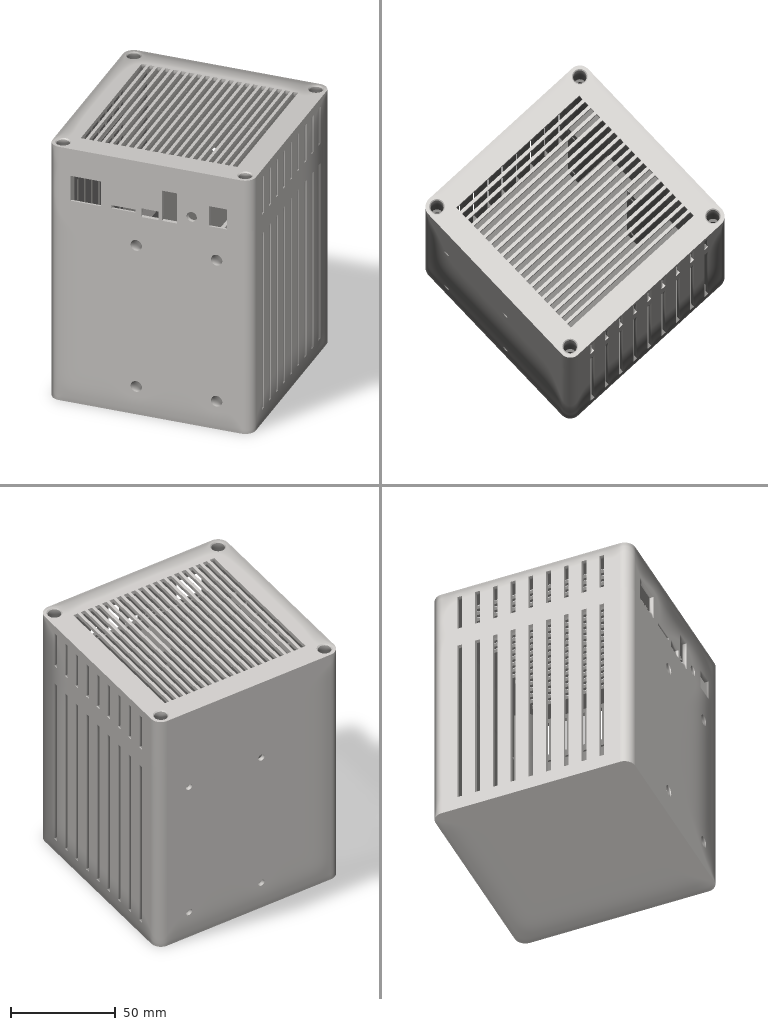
import cadquery as cq
import math

SIDE = 104.0
HEIGHT = 137.0
LID_HEIGHT = 28.0
BASE_HEIGHT = HEIGHT - LID_HEIGHT
WALL = 2.0
CORNER_RADIUS = 5.5
HALF = SIDE / 2
FRONT_Y = -HALF

RIM_WALL = WALL / 2
RIM_STEP_DEPTH = 1.8

PILLAR_RADIUS = 5.5
SCREW_INSET = 5.5
SCREW_HEAD_DIAMETER = 6.5
SCREW_HEAD_CHAMFER = 0.5
SCREW_HEAD_DEPTH = 20.5
SCREW_HOLE_DIAMETER = 3.5
SCREW_PILOT_DEPTH = 20.5

SLOT_WIDTH = 2.5
ROOF_SLOT_COUNT = 20
ROOF_SLOT_SPAN = 80.0
SIDE_SLOT_COUNT = 9
SIDE_SLOT_SPAN = 76.6
LID_SLOT_BOTTOM = BASE_HEIGHT + 3.7
LID_SLOT_TOP = HEIGHT - 4.5
BASE_SLOT_BOTTOM = 7.3
BASE_SLOT_TOP = BASE_HEIGHT - 7.0

RAIL_WIDTH = 6.7
RAIL_DEPTH = 21.5
RAIL_TOP = BASE_HEIGHT - 7.5
RAIL_X = (-7.0, 34.1)
DRIVE_HOLE_Z = (15.1, 91.4)
DRIVE_HOLE_DIAMETER = 3.5
DRIVE_HEAD_DIAMETER = 5.8
DRIVE_HEAD_DEPTH = 16.5

SUNKEN_SILL = -RIM_STEP_DEPTH
CONNECTOR_OPENINGS = (
    (-40.5, -25.0, 0.0, 13.4),
    (-19.6, -7.3, 0.0, 1.6),
    (-4.4, 4.2, SUNKEN_SILL, 2.9),
    (6.2, 13.7, SUNKEN_SILL, 14.5),
    (30.1, 39.5, 0.0, 10.8),
)
JACK_X = 21.4
JACK_Z = BASE_HEIGHT + 3.3
JACK_DIAMETER = 5.2


def box_between(x_range, y_range, z_range):
    size = [high - low for low, high in (x_range, y_range, z_range)]
    corner = (x_range[0], y_range[0], z_range[0])
    return cq.Workplane("XY").box(*size, centered=False).translate(corner)


def upright_cylinder(x, y, bottom, top, diameter):
    return cq.Workplane("XY", origin=(x, y, bottom)).circle(diameter / 2).extrude(top - bottom)


def cylinder_along_y(x, z, start, end, diameter):
    return cq.Workplane("XZ", origin=(x, start, z)).circle(diameter / 2).extrude(start - end)


def rounded_block(bottom, top):
    block = box_between((-HALF, HALF), (-HALF, HALF), (bottom, top))
    return block.edges("|Z").fillet(CORNER_RADIUS)


def screw_places():
    offset = HALF - SCREW_INSET
    return [(x, y) for x in (-offset, offset) for y in (-offset, offset)]


def cavity(bottom, top, wall):
    """Inside space between the walls, less the four corner pillars."""
    reach = HALF - wall
    space = box_between((-reach, reach), (-reach, reach), (bottom, top))
    for x, y in screw_places():
        x_range = sorted((x - math.copysign(PILLAR_RADIUS, x), math.copysign(HALF, x)))
        y_range = sorted((y - math.copysign(PILLAR_RADIUS, y), math.copysign(HALF, y)))
        rounded_corner = cq.selectors.NearestToPointSelector((0, 0, (bottom + top) / 2))
        pillar = box_between(x_range, y_range, (bottom, top))
        space = space.cut(pillar.edges("|Z").edges(rounded_corner).fillet(PILLAR_RADIUS))
    return space


def slot_starts(count, span):
    """Lower edges of evenly spaced slots that are centred on the case."""
    pitch = (span - SLOT_WIDTH) / (count - 1)
    return [-span / 2 + i * pitch for i in range(count)]


def side_slots(bottom, top):
    slots = cq.Workplane("XY")
    for y in slot_starts(SIDE_SLOT_COUNT, SIDE_SLOT_SPAN):
        for x_range in ((-HALF, -HALF + WALL), (HALF - WALL, HALF)):
            slots = slots.add(box_between(x_range, (y, y + SLOT_WIDTH), (bottom, top)))
    return slots.combine()


def roof_slots():
    slots = cq.Workplane("XY")
    y_range = (-ROOF_SLOT_SPAN / 2, ROOF_SLOT_SPAN / 2)
    for x in slot_starts(ROOF_SLOT_COUNT, ROOF_SLOT_SPAN):
        slots = slots.add(box_between((x, x + SLOT_WIDTH), y_range, (HEIGHT - WALL, HEIGHT)))
    return slots.combine()


def connector_openings():
    openings = cylinder_along_y(JACK_X, JACK_Z, FRONT_Y, FRONT_Y + WALL, JACK_DIAMETER)
    for left, right, bottom, top in CONNECTOR_OPENINGS:
        z_range = (BASE_HEIGHT + bottom, BASE_HEIGHT + top)
        openings = openings.union(box_between((left, right), (FRONT_Y, FRONT_Y + WALL), z_range))
    return openings


def screw_head_flare(x, y):
    """Chamfer at the mouth of a screw head bore."""
    bore_radius = SCREW_HEAD_DIAMETER / 2
    start = cq.Vector(x, y, HEIGHT - SCREW_HEAD_CHAMFER)
    mouth_radius = bore_radius + SCREW_HEAD_CHAMFER
    return cq.Solid.makeCone(bore_radius, mouth_radius, SCREW_HEAD_CHAMFER, pnt=start)


def make_base():
    base = rounded_block(0, BASE_HEIGHT).cut(cavity(WALL, BASE_HEIGHT, WALL))
    base = base.cut(cavity(BASE_HEIGHT - RIM_STEP_DEPTH, BASE_HEIGHT, RIM_WALL))
    base = base.cut(side_slots(BASE_SLOT_BOTTOM, BASE_SLOT_TOP)).cut(connector_openings())
    for x, y in screw_places():
        pilot_bottom = BASE_HEIGHT - SCREW_PILOT_DEPTH
        base = base.cut(upright_cylinder(x, y, pilot_bottom, BASE_HEIGHT, SCREW_HOLE_DIAMETER))
    for x in RAIL_X:
        x_range = (x - RAIL_WIDTH / 2, x + RAIL_WIDTH / 2)
        base = base.union(box_between(x_range, (FRONT_Y, FRONT_Y + RAIL_DEPTH), (0, RAIL_TOP)))
    for x in RAIL_X:
        for z in DRIVE_HOLE_Z:
            base = base.cut(cylinder_along_y(x, z, FRONT_Y, HALF, DRIVE_HOLE_DIAMETER))
            head_end = FRONT_Y + DRIVE_HEAD_DEPTH
            base = base.cut(cylinder_along_y(x, z, FRONT_Y, head_end, DRIVE_HEAD_DIAMETER))
    return base


def make_lid():
    lid = rounded_block(BASE_HEIGHT, HEIGHT).cut(cavity(BASE_HEIGHT, HEIGHT - WALL, WALL))
    lid = lid.cut(side_slots(LID_SLOT_BOTTOM, LID_SLOT_TOP)).cut(roof_slots()).cut(connector_openings())
    for x, y in screw_places():
        head_seat = HEIGHT - SCREW_HEAD_DEPTH
        lid = lid.cut(upright_cylinder(x, y, BASE_HEIGHT, HEIGHT, SCREW_HOLE_DIAMETER))
        lid = lid.cut(upright_cylinder(x, y, head_seat, HEIGHT, SCREW_HEAD_DIAMETER))
        lid = lid.cut(screw_head_flare(x, y))
    return lid


base = make_base()
lid = make_lid()
result = cq.Compound.makeCompound([base.val(), lid.val()])